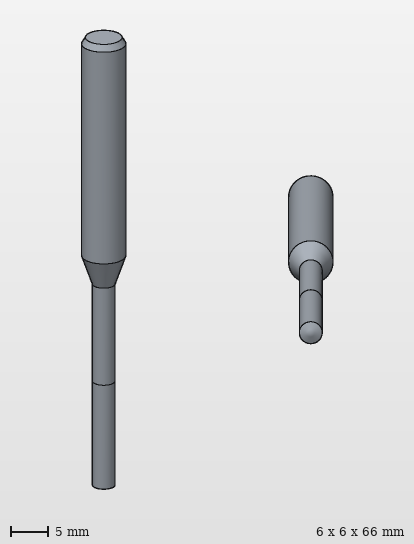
import cadquery as cq
import math

total_length = 66.0
shank_diameter = 6.0
cutter_diameter = 3.1

cutter_length = 15.8
neck_length = 14.2
taper_length = 4.15

point_angle = 140.0
chamfer_height = 0.9
chamfer_width = 0.5

shank_radius = shank_diameter / 2
cutter_radius = cutter_diameter / 2
point_height = cutter_radius / math.tan(math.radians(point_angle / 2))
taper_bottom = cutter_length + neck_length
taper_top = taper_bottom + taper_length


def revolve_about_z(profile):
    """Turn an outline of (radius, height) points about the Z axis."""
    return cq.Workplane("XZ").polyline(profile).close().revolve(360, (0, 0), (0, 1))


def make_cutter():
    """Cylindrical cutting end with a conical point."""
    return revolve_about_z([
        (0, 0),
        (cutter_radius, point_height),
        (cutter_radius, cutter_length),
        (0, cutter_length),
    ])


def make_holder():
    """Neck, taper and shank, chamfered at the upper end."""
    return revolve_about_z([
        (0, cutter_length),
        (cutter_radius, cutter_length),
        (cutter_radius, taper_bottom),
        (shank_radius, taper_top),
        (shank_radius, total_length - chamfer_height),
        (shank_radius - chamfer_width, total_length),
        (0, total_length),
    ])


cutter = make_cutter()
holder = make_holder()
result = cq.Compound.makeCompound([cutter.val(), holder.val()])